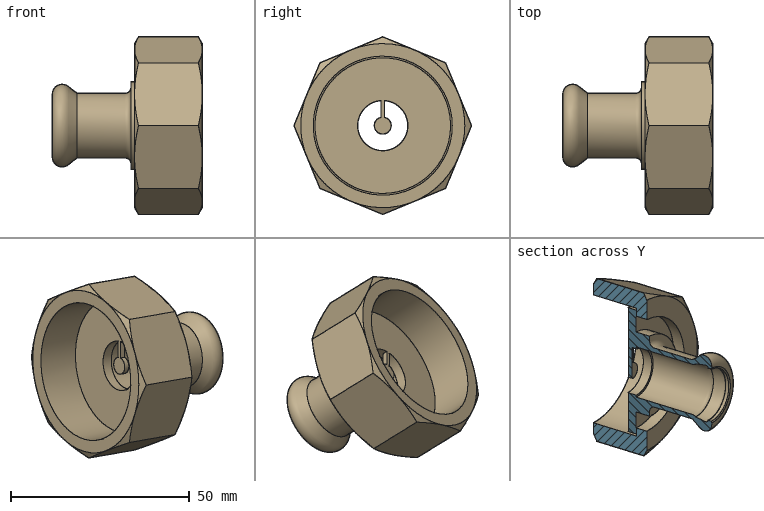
import cadquery as cq
import math


corner_diameter = 49.8
side_count = 8
total_length = 42.0
nut_front = 23.05
nut_face_diameter = 45.95
chamfer_angle = 30.0
lip_bore_diameter = 34.0
thread_bore_diameter = 38.95
collar_front = 26.8

tube_radius = 18.2 / 2
bead_diameter = 23.2
bead_round = 2.8
bead_cone_angle = 37.5
flange_front = 22.0
flange_radius = 24.6 / 2
root_fillet = 1.5
collar_radius = 38.0 / 2
collar_thickness = 3.0

mouth_radius = 8.35
mouth_cone_depth = 0.2
throat_radius = 15.8 / 2
throat_end = 1.35
groove_radius = 8.55
groove_start = 2.5
groove_end = 5.8
groove_end_radius = 8.05
tube_bore_start = 6.9
tube_bore_radius = 15.2 / 2
outlet_radius = 14.0 / 2

disc_diameter = 4.8
spoke_width = 1.1
disc_thickness = collar_thickness / 2

collar_back = collar_front + collar_thickness


def make_nut():
    length = total_length - nut_front
    corner_radius = corner_diameter / 2
    face_radius = nut_face_diameter / 2
    chamfer_length = (corner_radius - face_radius) * math.tan(math.radians(chamfer_angle))
    prism = (
        cq.Workplane("YZ", origin=(nut_front, 0, 0))
        .polygon(side_count, corner_diameter)
        .extrude(length)
    )
    envelope = (
        cq.Workplane("XY")
        .moveTo(nut_front, 0)
        .lineTo(nut_front, face_radius)
        .lineTo(nut_front + chamfer_length, corner_radius)
        .lineTo(total_length - chamfer_length, corner_radius)
        .lineTo(total_length, face_radius)
        .lineTo(total_length, 0)
        .close()
        .revolve(360, (0, 0, 0), (1, 0, 0))
    )
    lip_bore = (
        cq.Workplane("YZ", origin=(nut_front, 0, 0))
        .circle(lip_bore_diameter / 2)
        .extrude(length)
    )
    thread_bore = (
        cq.Workplane("YZ", origin=(collar_front, 0, 0))
        .circle(thread_bore_diameter / 2)
        .extrude(total_length - collar_front)
    )
    return prism.intersect(envelope).cut(lip_bore).cut(thread_bore)


def make_turned_tailpiece():
    bead_centre_radius = bead_diameter / 2 - bead_round
    angle = math.radians(bead_cone_angle)

    def bead_point(direction):
        """Point of the bead's round, with direction measured from radially outward toward +X."""
        return (
            bead_round + bead_round * math.sin(direction),
            bead_centre_radius + bead_round * math.cos(direction),
        )

    cone_start = bead_point(angle)
    cone_end = cone_start[0] + (cone_start[1] - tube_radius) / math.tan(angle)
    diagonal = math.sqrt(0.5)
    fillet_middle = (
        flange_front - root_fillet + root_fillet * diagonal,
        tube_radius + root_fillet * (1 - diagonal),
    )
    profile = (
        cq.Workplane("XY")
        .moveTo(0, mouth_radius)
        .lineTo(0, bead_centre_radius)
        .threePointArc(bead_point(-math.pi / 4), cone_start)
        .lineTo(cone_end, tube_radius)
        .lineTo(flange_front - root_fillet, tube_radius)
        .threePointArc(fillet_middle, (flange_front, tube_radius + root_fillet))
        .lineTo(flange_front, flange_radius)
        .lineTo(collar_front, flange_radius)
        .lineTo(collar_front, collar_radius)
        .lineTo(collar_back, collar_radius)
        .lineTo(collar_back, outlet_radius)
        .lineTo(collar_front, outlet_radius)
        .lineTo(collar_front, tube_bore_radius)
        .lineTo(tube_bore_start, tube_bore_radius)
        .tangentArcPoint((groove_end, groove_end_radius), relative=False)
        .lineTo(groove_start, groove_radius)
        .tangentArcPoint((throat_end, throat_radius), relative=False)
        .lineTo(mouth_cone_depth, throat_radius)
        .close()
    )
    return profile.revolve(360, (0, 0, 0), (1, 0, 0))


def make_disc_and_spoke():
    spoke_length = (outlet_radius + collar_radius) / 2
    base = cq.Workplane("YZ", origin=(collar_back - disc_thickness, 0, 0))
    disc = base.circle(disc_diameter / 2).extrude(disc_thickness)
    spoke = base.center(0, spoke_length / 2).rect(spoke_width, spoke_length).extrude(disc_thickness)
    return disc.union(spoke)


nut = make_nut()
tailpiece = make_turned_tailpiece().union(make_disc_and_spoke())
result = cq.Compound.makeCompound([nut.val(), tailpiece.val()])